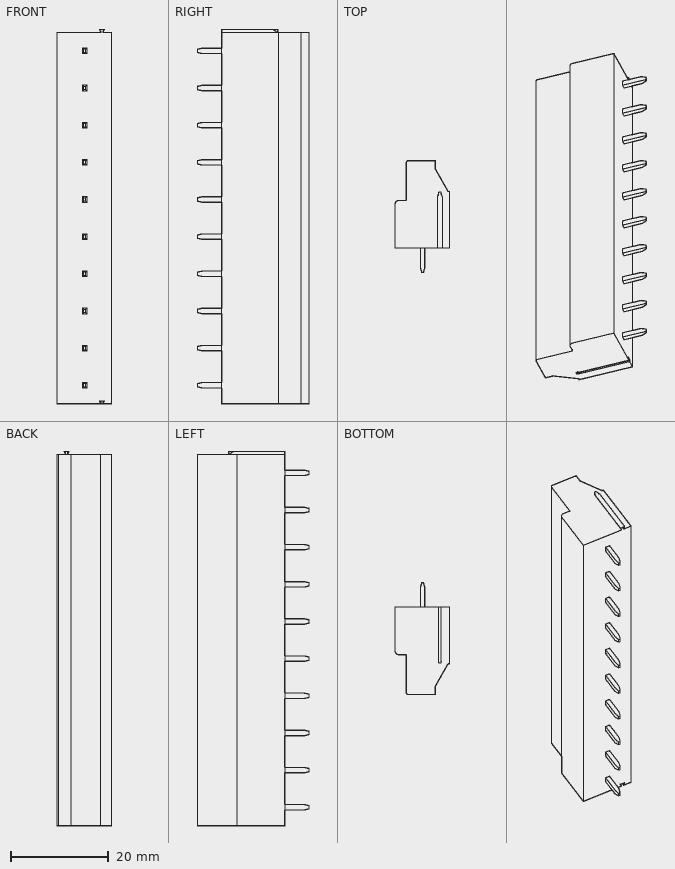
import cadquery as cq

pole_count = 10
total_height = 76.8
rib_height = 0.6
housing_width = 11.2
housing_depth = 18.0
housing_height = total_height - rib_height
pole_pitch = housing_height / pole_count

step_width = 2.3
step_y = 9.8
shoulder_radius = 0.85
rear_radius = 0.45
rear_right_x = 8.3
slope_top_y = 16.3
slope_bottom_y = 11.7
ledge_width = 0.3

rib_x = 9.2
rib_outer_width = 1.0
rib_root_width = 0.45
rib_length = 11.5
rib_tip_length = 1.0
rib_tip_inset = 0.3

pin_offset = 0.1
pin_x = housing_width / 2 + pin_offset
pin_width = 0.9
pin_height = 1.15
pin_length = 5.0
pin_tip_length = 1.0
pin_tip_width = 0.4
pin_tip_height = 0.7


def make_housing():
    profile = (
        cq.Workplane("XY")
        .lineTo(housing_width, 0)
        .lineTo(housing_width, slope_bottom_y)
        .lineTo(housing_width - ledge_width, slope_bottom_y)
        .lineTo(rear_right_x, slope_top_y)
        .lineTo(rear_right_x, housing_depth)
        .lineTo(step_width + rear_radius, housing_depth)
        .radiusArc((step_width, housing_depth - rear_radius), -rear_radius)
        .lineTo(step_width, step_y)
        .lineTo(shoulder_radius, step_y)
        .radiusArc((0, step_y - shoulder_radius), -shoulder_radius)
        .close()
    )
    return profile.extrude(housing_height)


def make_dovetail(base_z):
    """Dovetail bar standing on base_z, widening upward, with a tapered +Y tip."""
    bar = (
        cq.Workplane("XZ", origin=(rib_x, 0, base_z))
        .moveTo(-rib_root_width / 2, 0)
        .lineTo(rib_root_width / 2, 0)
        .lineTo(rib_outer_width / 2, rib_height)
        .lineTo(-rib_outer_width / 2, rib_height)
        .close()
        .extrude(-rib_length)
    )
    half_width = rib_outer_width / 2
    outline = (
        cq.Workplane("XY", origin=(rib_x, 0, base_z))
        .moveTo(-half_width, 0)
        .lineTo(half_width, 0)
        .lineTo(half_width, rib_length - rib_tip_length)
        .lineTo(half_width - rib_tip_inset, rib_length)
        .lineTo(-half_width + rib_tip_inset, rib_length)
        .lineTo(-half_width, rib_length - rib_tip_length)
        .close()
        .extrude(rib_height)
    )
    return bar.intersect(outline)


def make_pin(center_z):
    """Rectangular pin pointing to -Y with a tapered tip."""
    shank_length = pin_length - pin_tip_length
    shank = (
        cq.Workplane("XZ", origin=(pin_x, 0, center_z))
        .rect(pin_width, pin_height)
        .extrude(shank_length)
    )
    return (
        shank.faces("<Y").workplane(centerOption="CenterOfMass")
        .rect(pin_width, pin_height)
        .workplane(offset=pin_tip_length)
        .rect(pin_tip_width, pin_tip_height)
        .loft(combine=True)
    )


result = make_housing().cut(make_dovetail(0)).union(make_dovetail(housing_height))
for pole in range(pole_count):
    result = result.union(make_pin((pole + 0.5) * pole_pitch))